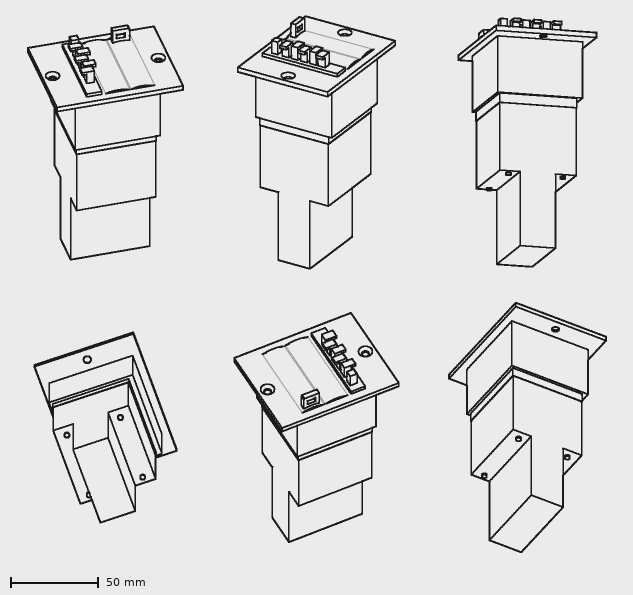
import cadquery as cq

TOTAL_HEIGHT = 135.0
KEY_HEIGHT = 10.0
BOTTOM_Z = KEY_HEIGHT - TOTAL_HEIGHT

PLATE_X = 60.0
PLATE_Y = 75.0
PLATE_THICKNESS = 3.0
SCREW_HOLE_DIAMETER = 4.2
COUNTERSINK_DIAMETER = 8.0
COUNTERSINK_ANGLE = 90.0
SCREW_OFFSET_Y = 31.5

UPPER_BODY_SIZE = 50.6
UPPER_BODY_BOTTOM_Z = -36.0
COLLAR_BOTTOM_Z = -41.6
COLLAR_STEP = 0.2
MIDDLE_BODY_X = 45.6
MIDDLE_BODY_Y = 47.1
MIDDLE_BODY_BOTTOM_Z = -81.4
MIDDLE_CENTER_X = -0.7
CONNECTOR_X = 21.2
CONNECTOR_CENTER_X = -0.8

PAD_DIAMETER = 3.0
PAD_HEIGHT = 1.1
PAD_OFFSET_X = 16.2
PAD_OFFSET_Y = 19.2
PAD_CENTER_Y = 0.7

PANEL_LENGTH = 50.0
DOME_HEIGHT = 1.2
FRONT_DOME_CENTER_Y = 0.0
FRONT_DOME_WIDTH = 14.5
REAR_DOME_CENTER_Y = 15.0
REAR_DOME_WIDTH = 14.0
KEY_STRIP_CENTER_Y = -13.9
KEY_STRIP_WIDTH = 9.0
KEY_STRIP_HEIGHT = 2.0

LUG_CENTER_X = -21.6
LUG_THICKNESS = 3.1
LUG_CENTER_Y = 15.1
LUG_WIDTH = 10.0
LUG_HEIGHT = 9.2
LUG_CHAMFER = 0.5
WINDOW_WIDTH = 5.1
WINDOW_HEIGHT = 2.7
WINDOW_CENTER_Y = 15.0
WINDOW_CENTER_Z = 4.7

POST_CENTER_Y = -13.2
POST_DEPTH = 4.5
FIRST_POST_X = -18.6
FIRST_POST_WIDTH = 4.0
KEY_WIDTH = 4.3
KEY_PITCH = 6.1
FIRST_KEY_X = -11.3
REGULAR_KEY_COUNT = 4
LAST_KEY_X = 12.7
LAST_KEY_WIDTH = 4.9
HEAD_THICKNESS = 1.8
HEAD_OVERHANG = 2.7


def block(size_x, size_y, bottom_z, top_z, center_x=0.0, center_y=0.0):
    """Upright box between two heights."""
    return (
        cq.Workplane("XY", origin=(center_x, center_y, bottom_z))
        .rect(size_x, size_y)
        .extrude(top_z - bottom_z)
    )


def flange_plate():
    plate = block(PLATE_X, PLATE_Y, -PLATE_THICKNESS, 0.0)
    return (
        plate.faces(">Z")
        .workplane(origin=(0, 0, 0))
        .pushPoints([(0, -SCREW_OFFSET_Y), (0, SCREW_OFFSET_Y)])
        .cskHole(SCREW_HOLE_DIAMETER, COUNTERSINK_DIAMETER, COUNTERSINK_ANGLE)
    )


def stepped_body():
    upper = block(UPPER_BODY_SIZE, UPPER_BODY_SIZE, UPPER_BODY_BOTTOM_Z, -PLATE_THICKNESS)
    collar = block(
        MIDDLE_BODY_X + 2 * COLLAR_STEP,
        MIDDLE_BODY_Y + 2 * COLLAR_STEP,
        COLLAR_BOTTOM_Z,
        UPPER_BODY_BOTTOM_Z,
        MIDDLE_CENTER_X,
    )
    middle = block(
        MIDDLE_BODY_X, MIDDLE_BODY_Y, MIDDLE_BODY_BOTTOM_Z, COLLAR_BOTTOM_Z, MIDDLE_CENTER_X
    )
    connector = block(
        CONNECTOR_X, MIDDLE_BODY_Y, BOTTOM_Z, MIDDLE_BODY_BOTTOM_Z, CONNECTOR_CENTER_X
    )
    return upper.union(collar).union(middle).union(connector)


def bottom_pads():
    return (
        cq.Workplane("XY", origin=(MIDDLE_CENTER_X, PAD_CENTER_Y, MIDDLE_BODY_BOTTOM_Z))
        .rect(2 * PAD_OFFSET_X, 2 * PAD_OFFSET_Y, forConstruction=True)
        .vertices()
        .circle(PAD_DIAMETER / 2)
        .extrude(-PAD_HEIGHT)
    )


def domed_panel(center_y, width):
    """Shallow circular-arc crown running along X."""
    return (
        cq.Workplane("YZ", origin=(-PANEL_LENGTH / 2, center_y, 0))
        .moveTo(-width / 2, 0)
        .threePointArc((0, DOME_HEIGHT), (width / 2, 0))
        .close()
        .extrude(PANEL_LENGTH)
    )


def window_lug():
    lug = block(LUG_THICKNESS, LUG_WIDTH, 0.0, LUG_HEIGHT, LUG_CENTER_X, LUG_CENTER_Y)
    lug = lug.edges(">Y and >Z").chamfer(LUG_CHAMFER)
    window = cq.Workplane("XY", origin=(LUG_CENTER_X, WINDOW_CENTER_Y, WINDOW_CENTER_Z)).box(
        LUG_THICKNESS, WINDOW_WIDTH, WINDOW_HEIGHT
    )
    return lug.cut(window)


def key_post(center_x, width):
    return block(width, POST_DEPTH, 0.0, KEY_HEIGHT, center_x, POST_CENTER_Y)


def headed_key(center_x, width, side):
    """Post whose head overhangs toward +Y (side = 1) or -Y (side = -1)."""
    head = block(
        width,
        POST_DEPTH + HEAD_OVERHANG,
        KEY_HEIGHT - HEAD_THICKNESS,
        KEY_HEIGHT,
        center_x,
        POST_CENTER_Y + side * HEAD_OVERHANG / 2,
    )
    return key_post(center_x, width).union(head)


def key_row():
    row = block(PANEL_LENGTH, KEY_STRIP_WIDTH, 0.0, KEY_STRIP_HEIGHT, 0.0, KEY_STRIP_CENTER_Y)
    row = row.union(key_post(FIRST_POST_X, FIRST_POST_WIDTH))
    for index in range(REGULAR_KEY_COUNT):
        side = -1 if index % 2 == 0 else 1
        row = row.union(headed_key(FIRST_KEY_X + index * KEY_PITCH, KEY_WIDTH, side))
    return row.union(headed_key(LAST_KEY_X, LAST_KEY_WIDTH, -1))


result = (
    flange_plate()
    .union(stepped_body())
    .union(bottom_pads())
    .union(domed_panel(FRONT_DOME_CENTER_Y, FRONT_DOME_WIDTH))
    .union(domed_panel(REAR_DOME_CENTER_Y, REAR_DOME_WIDTH))
    .union(window_lug())
    .union(key_row())
)